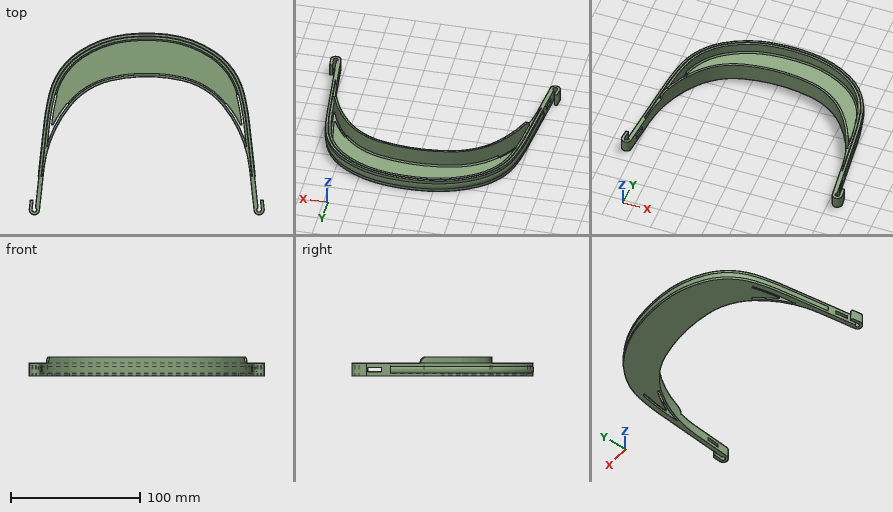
import cadquery as cq
import math

BAND_HEIGHT = 10.0
BROW_HEIGHT = 15.0
PLATE_THICKNESS = 1.0

BAND_FRONT_Y = 69.77
BAND_ARCS = [(139.0, 6.7), (82.2, 34.0), (54.3, 76.1), (179.0, 83.8)]
BAND_THICKNESS = 4.0

BROW_FRONT_Y = 36.48
BROW_FRONT_ARCS = [(125.0, 12.9), (56.4, 51.0)]
BROW_THICKNESS = 1.7
BROW_END_Y = -17.6
BROW_END_RADIUS = BROW_HEIGHT - BAND_HEIGHT
SHOULDER_CUT_LENGTH = 20.0

SHEET_GROOVE_OFFSET = 1.75
SHEET_GROOVE_WIDTH = 0.5
SHEET_GROOVE_DEPTH = 8.0
BEAD_HEIGHT = 5.0
BEAD_RISE = 0.55
BEAD_ARM_LENGTH = 40.3
BEAD_EMBED = SHEET_GROOVE_OFFSET / 2

PLATE_CHAMFER = 1.15
GAP_WIDTH = 1.5
BAND_GAP_TOP_Y = 22.6
BROW_GAP_TOP_Y = 15.8
PLATE_TIP_Y = -0.9

ARM_THICKNESS = 3.4
HOOK_RADIUS = 4.0
HOOK_EYE_RADIUS = 1.7
HOOK_TIP_LENGTH = 7.2
HOOK_TIP_FILLET = 1.0
HOOK_BOTTOM_Y = -70.315

WINDOW_HEIGHT = 3.0
WINDOW_TOP_Y = -47.4
WINDOW_BOTTOM_Y = -57.9

REACH = 200.0

ARM_LEAN = 90.0 - BAND_ARCS[-1][1]


def arc_point(center, radius, heading):
    angle = math.radians(heading)
    return (center[0] + radius * math.sin(angle), center[1] + radius * math.cos(angle))


def chain_arcs(front_y, arcs, inset=0.0):
    """Right half of a tangent arc chain moved inwards by inset, as (centre, radius, start, end) per arc."""
    chain = []
    radius, start = arcs[0][0], 0.0
    center = (0.0, front_y - radius)
    for next_radius, end in arcs:
        center = arc_point(center, radius - next_radius, start)
        radius = next_radius
        chain.append((center, radius - inset, start, end))
        start = end
    return chain


def chain_end(front_y, arcs, inset=0.0):
    center, radius, _, end = chain_arcs(front_y, arcs, inset)[-1]
    return arc_point(center, radius, end)


def tail_end(front_y, arcs, inset, tail):
    end_x, end_y = chain_end(front_y, arcs, inset)
    heading = math.radians(arcs[-1][1])
    return (end_x + tail * math.cos(heading), end_y - tail * math.sin(heading))


def brow_side_arc():
    """Last arc of the brow band, ending parallel to the arm and one arm thickness inside its outer face."""
    arm_heading = BAND_ARCS[-1][1]
    normal_x, normal_y = arc_point((0.0, 0.0), 1.0, arm_heading)
    face_x, face_y = chain_end(BAND_FRONT_Y, BAND_ARCS, ARM_THICKNESS)
    start_x, start_y = chain_end(BROW_FRONT_Y, BROW_FRONT_ARCS)
    distance = (face_x - start_x) * normal_x + (face_y - start_y) * normal_y
    turn = math.radians(arm_heading - BROW_FRONT_ARCS[-1][1])
    return (distance / (1 - math.cos(turn)), arm_heading)


BROW_ARCS = BROW_FRONT_ARCS + [brow_side_arc()]


def trace_chain(workplane, front_y, arcs, inset, tail):
    """Draws the mirrored arc chain from left to right, with a straight tail at each end."""
    chain = chain_arcs(front_y, arcs, inset)
    end_x, end_y = chain_end(front_y, arcs, inset)
    tail_x, tail_y = tail_end(front_y, arcs, inset, tail)
    line = workplane.moveTo(-tail_x, tail_y).lineTo(-end_x, end_y)
    for center, radius, start, end in reversed(chain):
        mid_x, mid_y = arc_point(center, radius, (start + end) / 2)
        stop_x, stop_y = arc_point(center, radius, start)
        line = line.threePointArc((-mid_x, mid_y), (-stop_x, stop_y))
    for center, radius, start, end in chain:
        middle = arc_point(center, radius, (start + end) / 2)
        line = line.threePointArc(middle, arc_point(center, radius, end))
    return line.lineTo(tail_x, tail_y)


def inside_chain(front_y, arcs, inset, tail, height):
    """Solid enclosed by a mirrored arc chain, its tails and a straight line between the tail ends."""
    return trace_chain(cq.Workplane("XY"), front_y, arcs, inset, tail).close().extrude(height)


def inside_band(inset, height, tail=REACH):
    return inside_chain(BAND_FRONT_Y, BAND_ARCS, inset, tail, height)


def inside_brow(outset, height, tail=REACH):
    return inside_chain(BROW_FRONT_Y, BROW_ARCS, -outset, tail, height)


def half_space(y, height, above):
    """Large block on one side of the given y."""
    middle = y + REACH if above else y - REACH
    return cq.Workplane("XY").center(0, middle).rect(2 * REACH, 2 * REACH).extrude(height)


def mirrored(half):
    return half.union(half.mirror("YZ"))


def on_arm(shape):
    """Moves a shape drawn beside the arm axis onto the left arm: +X inwards, -Y along the arm."""
    end_x, end_y = chain_end(BAND_FRONT_Y, BAND_ARCS)
    return shape.rotate((0, 0, 0), (0, 0, 1), -ARM_LEAN).translate((-end_x, end_y, 0))


def hook_center():
    """Hook centre on the arm axes; its outer circle is tangent to the inner face of the arm."""
    lean = math.radians(ARM_LEAN)
    x = ARM_THICKNESS - HOOK_RADIUS
    _, end_y = chain_end(BAND_FRONT_Y, BAND_ARCS)
    center_y = HOOK_BOTTOM_Y + HOOK_RADIUS
    return x, (center_y - end_y + x * math.sin(lean)) / math.cos(lean)


def bands():
    """Front band, plate and lower brow band, with the arms cut off at the hook centres."""
    body = inside_band(0, BAND_HEIGHT).cut(inside_brow(0, BAND_HEIGHT))
    pocket = inside_band(BAND_THICKNESS, BAND_HEIGHT).cut(inside_brow(BROW_THICKNESS, BAND_HEIGHT))
    pocket = pocket.translate((0, 0, PLATE_THICKNESS)).edges("<Z").chamfer(PLATE_CHAMFER)
    body = body.cut(pocket)
    _, center_y = hook_center()
    arm_end = cq.Workplane("XY").center(0, center_y - REACH / 2).rect(REACH / 2, REACH).extrude(BAND_HEIGHT)
    return body.cut(mirrored(on_arm(arm_end)))


def plate_gaps():
    """Open gaps beside the plate tips and the open corners beyond them."""
    band_side = inside_band(BAND_THICKNESS, BAND_HEIGHT)
    brow_side = inside_brow(BROW_THICKNESS, BAND_HEIGHT)
    pocket = band_side.cut(brow_side)
    band_gap = pocket.cut(inside_band(BAND_THICKNESS + GAP_WIDTH, BAND_HEIGHT))
    brow_gap = pocket.intersect(inside_brow(BROW_THICKNESS + GAP_WIDTH, BAND_HEIGHT))
    gaps = band_gap.intersect(half_space(BAND_GAP_TOP_Y, BAND_HEIGHT, False))
    gaps = gaps.union(brow_gap.intersect(half_space(BROW_GAP_TOP_Y, BAND_HEIGHT, False)))
    return gaps.union(pocket.intersect(half_space(PLATE_TIP_Y, BAND_HEIGHT, False)))


def brow_band():
    """Full-height brow band; its upper part ends in a rounded shoulder on each side."""
    band = inside_brow(BROW_THICKNESS, BROW_HEIGHT).cut(inside_brow(0, BROW_HEIGHT))
    band = band.intersect(half_space(BROW_END_Y - BROW_END_RADIUS, BROW_HEIGHT, True))
    band = band.intersect(inside_band(0, BROW_HEIGHT))
    center, radius, _, _ = chain_arcs(BROW_FRONT_Y, BROW_ARCS)[-1]
    end_angle = math.acos((BROW_END_Y - center[1]) / radius)
    end_x = center[0] + radius * math.sin(end_angle)
    shoulder = (
        cq.Workplane("YZ")
        .moveTo(BROW_END_RADIUS, BROW_HEIGHT)
        .radiusArc((0, BAND_HEIGHT), -BROW_END_RADIUS)
        .lineTo(-SHOULDER_CUT_LENGTH, BAND_HEIGHT)
        .lineTo(-SHOULDER_CUT_LENGTH, BROW_HEIGHT)
        .close()
        .extrude(SHOULDER_CUT_LENGTH / 2, both=True)
        .rotate((0, 0, 0), (0, 0, 1), math.degrees(end_angle) - 90)
        .translate((-end_x, BROW_END_Y, 0))
    )
    return band.cut(mirrored(shoulder))


def sheet_groove():
    outer = inside_band(SHEET_GROOVE_OFFSET, SHEET_GROOVE_DEPTH, BEAD_ARM_LENGTH)
    inner = inside_band(SHEET_GROOVE_OFFSET + SHEET_GROOVE_WIDTH, SHEET_GROOVE_DEPTH)
    return outer.cut(inner).translate((0, 0, BAND_HEIGHT - SHEET_GROOVE_DEPTH))


def bead():
    """Low domed bead swept along the outer face of the front band."""
    lean = math.radians(ARM_LEAN)
    middle_plane = cq.Workplane("XY", origin=(0, 0, BAND_HEIGHT / 2))
    path = trace_chain(middle_plane, BAND_FRONT_Y, BAND_ARCS, 0, BEAD_ARM_LENGTH)
    tail_x, tail_y = tail_end(BAND_FRONT_Y, BAND_ARCS, 0, BEAD_ARM_LENGTH)
    section_plane = cq.Plane(
        origin=(-tail_x, tail_y, BAND_HEIGHT / 2),
        xDir=(-math.cos(lean), math.sin(lean), 0),
        normal=(math.sin(lean), math.cos(lean), 0),
    )
    section = (
        cq.Workplane(section_plane)
        .moveTo(-BEAD_EMBED, -BEAD_HEIGHT / 2)
        .lineTo(0, -BEAD_HEIGHT / 2)
        .threePointArc((BEAD_RISE, 0), (0, BEAD_HEIGHT / 2))
        .lineTo(-BEAD_EMBED, BEAD_HEIGHT / 2)
        .close()
    )
    return section.sweep(path)


def hook():
    """Open hook at the end of the left arm, turned outwards, with its tip parallel to the arm."""
    center_x, center_y = hook_center()
    ring = cq.Workplane("XY").center(center_x, center_y).circle(HOOK_RADIUS).extrude(BAND_HEIGHT)
    tip_width = HOOK_RADIUS - HOOK_EYE_RADIUS
    outer_x = center_x - HOOK_RADIUS
    tip = (
        cq.Workplane("XY")
        .moveTo(outer_x, center_y)
        .rect(tip_width, HOOK_TIP_LENGTH, centered=False)
        .extrude(BAND_HEIGHT)
        .edges("|Z and >Y and <X")
        .fillet(HOOK_TIP_FILLET)
    )
    return on_arm(ring.union(tip))


def hook_opening():
    """Round eye of the left hook and the slot leading into it between the arm and the tip."""
    center_x, center_y = hook_center()
    eye = cq.Workplane("XY").center(center_x, center_y).circle(HOOK_EYE_RADIUS).extrude(BAND_HEIGHT)
    slot_left = center_x - HOOK_EYE_RADIUS
    slot = (
        cq.Workplane("XY")
        .moveTo(slot_left, center_y)
        .rect(-slot_left, 2 * HOOK_TIP_LENGTH, centered=False)
        .extrude(BAND_HEIGHT)
    )
    return on_arm(eye.union(slot))


def strap_windows():
    """Rectangular windows straight through both arms."""
    length = WINDOW_TOP_Y - WINDOW_BOTTOM_Y
    middle = (WINDOW_TOP_Y + WINDOW_BOTTOM_Y) / 2
    return cq.Workplane("XY").box(2 * REACH, length, WINDOW_HEIGHT).translate((0, middle, BAND_HEIGHT / 2))


result = bands().cut(plate_gaps()).union(brow_band())
result = result.union(bead()).cut(sheet_groove())
result = result.union(mirrored(hook())).cut(mirrored(hook_opening()))
result = result.cut(strap_windows()).solids()